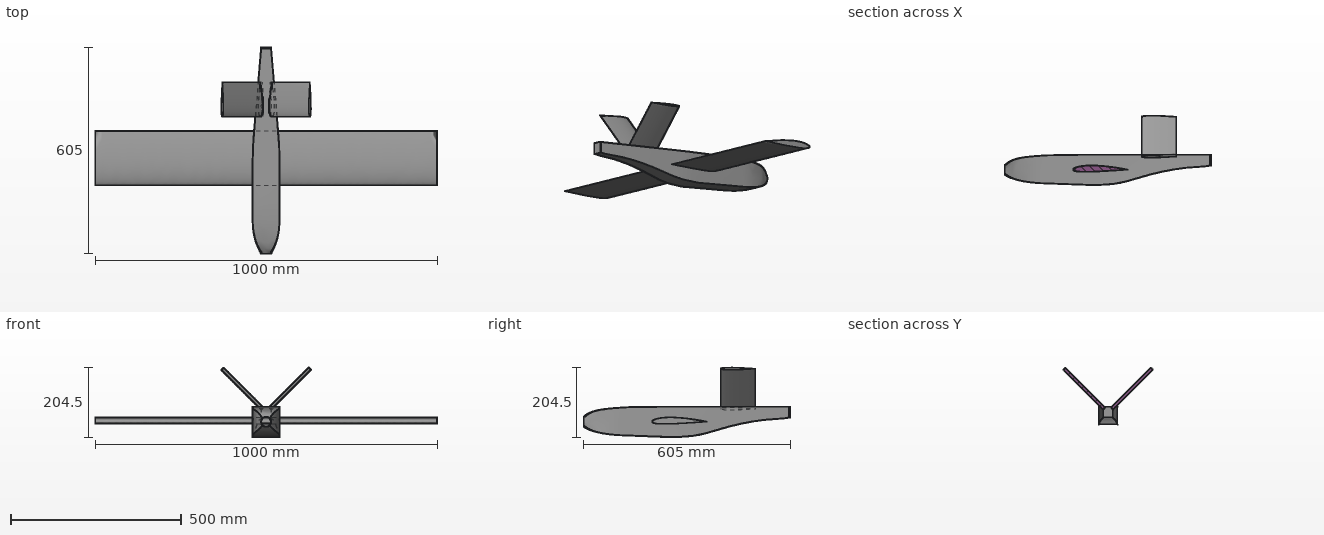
import cadquery as cq
import math


body_height = 90.0
half_body_width = 40.0
wall = 1.0
nose_diameter = 30.0
nose_axis_z = 45.5
half_tail_width = 15.0
tail_belly_z = 57.5
tail_plate_thickness = 5.0

section_spacing = 50.0
box_sections = [
    (34.5, 12.5, 81.5),
    (half_body_width, 6.2, 87.0),
    (half_body_width, 4.3, 89.5),
    (half_body_width, 2.5, body_height),
    (half_body_width, 0.12, body_height),
    (39.3, 2.0, body_height),
    (36.3, 9.7, body_height),
    (32.2, 24.0, body_height),
    (28.0, 37.3, body_height),
    (23.6, 47.0, body_height),
    (19.3, 52.7, body_height),
    (half_tail_width, tail_belly_z, body_height),
]
body_length = section_spacing * len(box_sections)

wing_span = 1000.0
wing_chord = 160.0
wing_leading_edge_y = 200.0
wing_z = 46.1
wing_thickness_ratio = 0.12
wing_camber_ratio = 0.02

fin_chord = 101.0
fin_length = 165.0
fin_leading_edge_y = 401.0
fin_angle = math.radians(45)
fin_tip_x = 128.0
fin_tip_top_z = 204.48
fin_thickness_ratio = 0.10

max_camber_position = 0.4
airfoil_steps = 24


def half_thickness(x, thickness_ratio):
    """Half thickness of a NACA four-digit airfoil with a closed trailing edge, for unit chord."""
    shape = 0.2969 * math.sqrt(x) - 0.1260 * x - 0.3516 * x**2 + 0.2843 * x**3 - 0.1036 * x**4
    return 5 * thickness_ratio * shape


def mean_line(x, camber_ratio):
    """Height of the camber line: two parabolas that meet at the highest point, for unit chord."""
    p = max_camber_position
    if x < p:
        return camber_ratio * (2 * p * x - x**2) / p**2
    return camber_ratio * (1 - 2 * p + 2 * p * x - x**2) / (1 - p) ** 2


def airfoil_panel(plane, chord, length, thickness_ratio, camber_ratio=0.0):
    """Straight panel: an airfoil with its leading edge at the plane's origin, extruded."""
    upper = []
    lower = []
    for step in range(airfoil_steps + 1):
        x = (1 - math.cos(math.pi * step / airfoil_steps)) / 2
        middle = mean_line(x, camber_ratio)
        half = half_thickness(x, thickness_ratio)
        upper.append((chord * x, chord * (middle + half)))
        lower.append((chord * x, chord * (middle - half)))
    outline = upper[::-1] + lower[1:]
    return cq.Workplane(plane).spline(outline).close().extrude(length)


def rectangle_wire(y, half_width, bottom, top):
    """Rectangle across the fuselage, starting at its lower -X corner."""
    corners = [
        (-half_width, bottom),
        (half_width, bottom),
        (half_width, top),
        (-half_width, top),
    ]
    return cq.Wire.makePolygon([cq.Vector(x, y, z) for x, z in corners], close=True)


def nose_wire(radius):
    """Nose circle in four arcs, so that each arc runs into one side of the rectangles."""

    def on_circle(degrees):
        angle = math.radians(degrees)
        return cq.Vector(radius * math.cos(angle), 0, nose_axis_z + radius * math.sin(angle))

    arcs = []
    for start in (225, 315, 45, 135):
        arcs.append(
            cq.Edge.makeThreePointArc(on_circle(start), on_circle(start + 45), on_circle(start + 90))
        )
    return cq.Wire.assembleEdges(arcs)


def fuselage_loft(inset):
    """Smooth body from the round nose to the tail, with every section shrunk by the inset."""
    wires = [nose_wire(nose_diameter / 2 - inset)]
    for number, (half_width, belly, deck) in enumerate(box_sections, start=1):
        y = section_spacing * number
        wires.append(rectangle_wire(y, half_width - inset, belly + inset, deck - inset))
    return cq.Workplane(cq.Solid.makeLoft(wires))


def make_tail_plate():
    """Flat plate that closes the aft end of the fuselage."""
    plate = cq.Workplane("XY").box(
        2 * half_tail_width,
        tail_plate_thickness,
        body_height - tail_belly_z,
        centered=(True, False, False),
    )
    return plate.translate((0, body_length, tail_belly_z))


def make_fin(side):
    """One fin, rooted just under the deck and rising outwards; side is -1 or +1."""
    across = math.cos(fin_angle)
    up = math.sin(fin_angle)
    tip_z = fin_tip_top_z - fin_chord * fin_thickness_ratio / 2 * across
    root_x = side * (fin_tip_x - fin_length * across)
    root_z = tip_z - fin_length * up
    plane = cq.Plane(
        origin=(root_x, fin_leading_edge_y, root_z),
        xDir=(0, 1, 0),
        normal=(side * across, 0, up),
    )
    return airfoil_panel(plane, fin_chord, fin_length, fin_thickness_ratio)


def make_wing():
    """One panel from tip to tip."""
    plane = cq.Plane(
        origin=(-wing_span / 2, wing_leading_edge_y, wing_z),
        xDir=(0, 1, 0),
        normal=(1, 0, 0),
    )
    return airfoil_panel(plane, wing_chord, wing_span, wing_thickness_ratio, wing_camber_ratio)


def make_fuselage(wing_body):
    """Hollow body with tail plate and fins, and openings in its sides that fit the wing."""
    body = fuselage_loft(0).cut(fuselage_loft(wall))
    body = body.union(make_tail_plate())
    for side in (-1, 1):
        body = body.union(make_fin(side))
    return body.cut(wing_body)


wing = make_wing()
fuselage = make_fuselage(wing)

result = cq.Compound.makeCompound([fuselage.solids().val(), wing.val()])